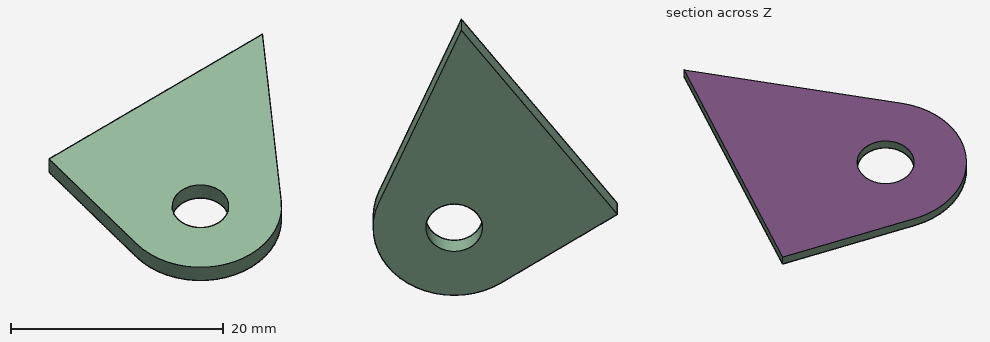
import cadquery as cq
import math

plate_height = 25.4
plate_thickness = 1.9
nose_radius = 7.62
hole_diameter = 5.3
hole_x = 13.39
hole_y = nose_radius


def nose_point(angle):
    """Point on the rounded nose at an angle in radians from +X."""
    return (hole_x + nose_radius * math.cos(angle), hole_y + nose_radius * math.sin(angle))


corner_rise = plate_height - hole_y
corner_distance = math.hypot(hole_x, corner_rise)
corner_angle = math.atan2(corner_rise, -hole_x)
tangent_angle = corner_angle - math.acos(nose_radius / corner_distance)

plate = (
    cq.Workplane("XY")
    .lineTo(hole_x, 0)
    .threePointArc(nose_point(0), nose_point(tangent_angle))
    .lineTo(0, plate_height)
    .close()
    .extrude(plate_thickness)
)

hole = (
    cq.Workplane("XY")
    .center(hole_x, hole_y)
    .circle(hole_diameter / 2)
    .extrude(plate_thickness)
)

result = plate.cut(hole)